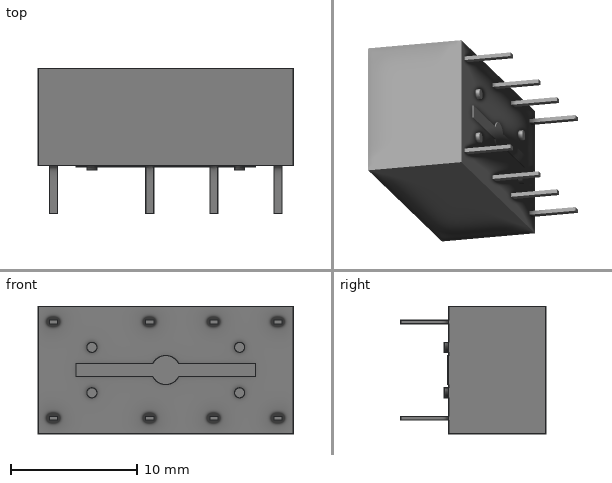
import cadquery as cq

body_length = 20.2
body_height = 7.7
body_width = 10.1

grid = 2.54
pin_row_z = 1.5 * grid
pin_columns_x = [-3.5 * grid, -0.5 * grid, 1.5 * grid, 3.5 * grid]
pin_length = 3.8
pin_width = 0.64
pin_thickness = 0.3

standoff_diameter = 0.8
standoff_height = 0.35
standoff_x = 5.85
standoff_z = 1.8

strip_length = 14.2
strip_width = 1.0
disc_diameter = 2.3
strip_height = 0.1


def underside():
    """Workplane on the underside: local x is X, local y is Z, and the normal is -Y."""
    return cq.Workplane("XZ")


def make_body():
    return underside().rect(body_length, body_width).extrude(-body_height)


def make_pins():
    positions = [(x, z) for x in pin_columns_x for z in (-pin_row_z, pin_row_z)]
    return underside().pushPoints(positions).rect(pin_width, pin_thickness).extrude(pin_length)


def make_standoffs():
    positions = [(x, z) for x in (-standoff_x, standoff_x) for z in (-standoff_z, standoff_z)]
    return underside().pushPoints(positions).circle(standoff_diameter / 2).extrude(standoff_height)


def make_strip():
    bar = underside().rect(strip_length, strip_width).extrude(strip_height)
    disc = underside().circle(disc_diameter / 2).extrude(strip_height)
    return bar.union(disc)


result = make_body().union(make_pins()).union(make_standoffs()).union(make_strip())